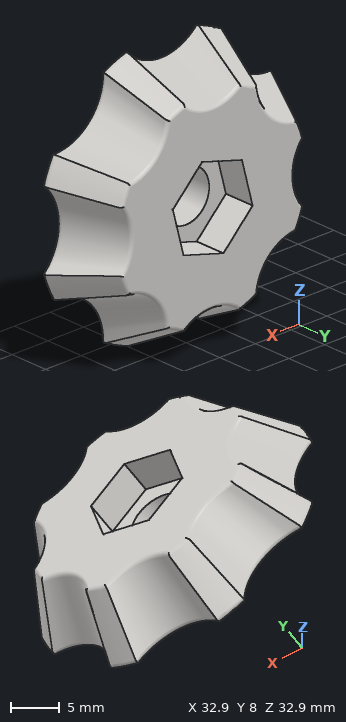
import cadquery as cq
import math

thickness = 8.0
scallop_count = 8
corner_x = 16.773
corner_z = 5.05
wide_scallop_radius = 6.9
narrow_scallop_radius = 6.0
narrow_scale = 0.752
rim_fillet = 0.5

hole_diameter = 6.5
nut_across_flats = 10.0
nut_corner_angle = 45
nut_depth = thickness / 2


def polar_point(radius, angle):
    return (radius * math.cos(angle), radius * math.sin(angle))


def add_outline(plane, scale, scallop_radius):
    """Draw scallop arcs joined by lobes that lie on a circle; scale sets the corner positions."""
    corner_radius = scale * math.hypot(corner_x, corner_z)
    half_angle = math.atan2(corner_z, corner_x)
    arc_depth = scallop_radius - math.sqrt(scallop_radius**2 - (scale * corner_z)**2)
    valley_radius = scale * corner_x - arc_depth

    outline = plane.moveTo(*polar_point(corner_radius, -half_angle))
    for index in range(scallop_count):
        angle = index * math.tau / scallop_count
        next_angle = angle + math.tau / scallop_count
        valley = polar_point(valley_radius, angle)
        arc_end = polar_point(corner_radius, angle + half_angle)
        outline = outline.threePointArc(valley, arc_end)
        lobe_middle = polar_point(corner_radius, (angle + next_angle) / 2)
        lobe_end = polar_point(corner_radius, next_angle - half_angle)
        outline = outline.threePointArc(lobe_middle, lobe_end)
    return outline.close()


def make_body():
    wide_face = add_outline(cq.Workplane("XZ"), 1, wide_scallop_radius)
    narrow_plane = wide_face.workplane(offset=-thickness)
    body = add_outline(narrow_plane, narrow_scale, narrow_scallop_radius).loft(ruled=True, combine=True)
    return body.faces("<Y or >Y").edges().fillet(rim_fillet)


def make_bolt_cutter():
    hole = cq.Workplane("XZ").circle(hole_diameter / 2).extrude(-thickness)
    nut_plane = cq.Workplane("XZ", origin=(0, thickness - nut_depth, 0))
    nut_across_corners = nut_across_flats / math.cos(math.pi / 6)
    nut = nut_plane.polygon(6, nut_across_corners).extrude(-nut_depth)
    nut = nut.rotate((0, 0, 0), (0, 1, 0), nut_corner_angle)
    return hole.union(nut)


result = make_body().cut(make_bolt_cutter())